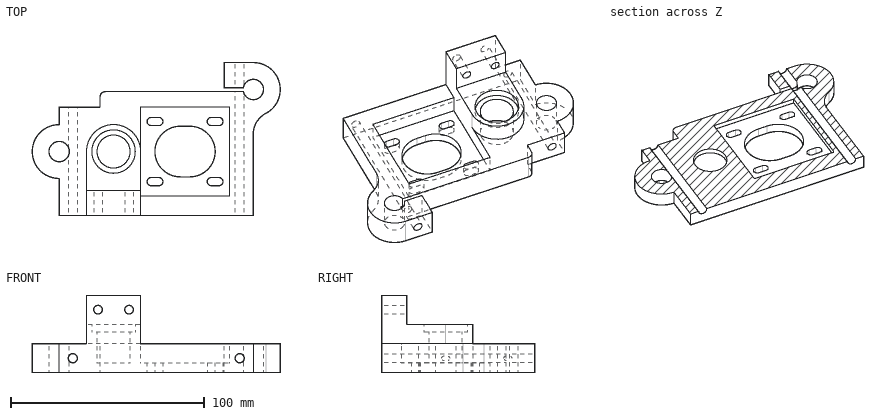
import cadquery as cq
import math

overall_length = 128
lug_radius = 14.0
rod_diameter = 10.4
plate_length = overall_length - 2 * lug_radius
plate_thickness = 15.0
plate_depth = 64
mid_y = 33.0
step_x = 21.0
step_y = 56.0
step_corner_radius = 3.0

clamp_y = 65.0
jaw_left_x = 85.0
clamp_gap = 1.9
clamp_blend_radius = 12.0

block_x = 28.0
block_top = 25.0
wall_thickness = 13.0
wall_top = 40.0
bearing_diameter = 22.4
bearing_depth = 4.0
bore_diameter = 17.0

pocket_side = 2 * (step_y - mid_y)
pocket_floor = 5.0
motor_x = block_x + lug_radius + pocket_side / 2
motor_opening_length = 31.0
motor_opening_width = 26.0
motor_screw_spacing = 31.0
motor_slot_length = 8.0
motor_slot_width = 4.1

plate_screw_diameter = 4.6
wall_screw_diameter = 4.4
plate_screw_inset = 7.0
wall_screw_spacing = 16.0
wall_screw_z = 32.5


def cylinder(x, y, diameter, bottom, top):
    """Upright cylinder between two heights."""
    return cq.Workplane("XY", origin=(x, y, bottom)).circle(diameter / 2).extrude(top - bottom)


def box(x_min, x_max, y_min, y_max, bottom, top):
    """Axis-aligned box given by its limits."""
    size = (x_max - x_min, y_max - y_min, top - bottom)
    return cq.Workplane("XY").box(*size, centered=False).translate((x_min, y_min, bottom))


def make_plate():
    """Stepped plate with the rod lug at the left."""
    plate = (
        cq.Workplane("XY")
        .polyline([
            (0, 0), (plate_length, 0), (plate_length, plate_depth),
            (step_x, plate_depth), (step_x, step_y), (0, step_y),
        ])
        .close()
        .extrude(plate_thickness)
    )
    step_corner = cq.NearestToPointSelector((step_x, plate_depth, plate_thickness / 2))
    plate = plate.edges("|Z").edges(step_corner).fillet(step_corner_radius)
    return plate.union(cylinder(0, mid_y, 2 * lug_radius, 0, plate_thickness))


def make_clamp():
    """Clamp eye, its jaw and the concave blend into the plate's right side."""
    eye = cylinder(plate_length, clamp_y, 2 * lug_radius, 0, plate_thickness)
    jaw = box(jaw_left_x, plate_length, clamp_y, clamp_y + lug_radius, 0, plate_thickness)

    center_distance = lug_radius + clamp_blend_radius
    blend_x = plate_length + clamp_blend_radius
    blend_y = clamp_y - math.sqrt(center_distance**2 - clamp_blend_radius**2)
    eye_angle = math.atan2(clamp_y - blend_y, -clamp_blend_radius)
    middle_angle = (math.pi + eye_angle) / 2

    def blend_point(angle):
        return (
            blend_x + clamp_blend_radius * math.cos(angle),
            blend_y + clamp_blend_radius * math.sin(angle),
        )

    web = (
        cq.Workplane("XY")
        .moveTo(plate_length, blend_y)
        .threePointArc(blend_point(middle_angle), blend_point(eye_angle))
        .lineTo(plate_length, clamp_y)
        .close()
        .extrude(plate_thickness)
    )
    return eye.union(jaw).union(web)


def make_bearing_block():
    """Round-ended block carrying the upright wall at the front."""
    left = block_x - lug_radius
    right = block_x + lug_radius
    block = box(left, right, 0, mid_y, 0, block_top)
    round_end = cylinder(block_x, mid_y, 2 * lug_radius, 0, block_top)
    wall = box(left, right, 0, wall_thickness, 0, wall_top)
    return block.union(round_end).union(wall)


def cut_bearing_seat(body):
    """Shallow bearing seat above a deeper blind bore."""
    seat = cylinder(block_x, mid_y, bearing_diameter, block_top - bearing_depth, block_top)
    bore = cylinder(block_x, mid_y, bore_diameter, pocket_floor, block_top)
    return body.cut(seat).cut(bore)


def cut_motor_mount(body):
    """Square pocket with an oblong opening and four screw slots in its floor."""
    half = pocket_side / 2
    pocket = box(
        motor_x - half, motor_x + half, mid_y - half, mid_y + half, pocket_floor, plate_thickness
    )
    floor = cq.Workplane("XY", origin=(motor_x, mid_y, 0))
    opening = floor.slot2D(motor_opening_length, motor_opening_width).extrude(plate_thickness)
    slots = (
        floor.rect(motor_screw_spacing, motor_screw_spacing, forConstruction=True)
        .vertices()
        .slot2D(motor_slot_length, motor_slot_width)
        .extrude(plate_thickness)
    )
    return body.cut(pocket).cut(opening).cut(slots)


def cut_rod_holes(body):
    """Rod holes in the lug and the clamp, and the gap that splits the clamp."""
    for x, y in [(0, mid_y), (plate_length, clamp_y)]:
        body = body.cut(cylinder(x, y, rod_diameter, 0, plate_thickness))
    gap = box(
        jaw_left_x, plate_length, plate_depth, plate_depth + clamp_gap, 0, plate_thickness
    )
    return body.cut(gap)


def cut_screw_holes(body):
    """Two holes through the plate and two through the upright wall."""
    plate_z = plate_thickness / 2
    plate_points = [(plate_screw_inset, plate_z), (plate_length - plate_screw_inset, plate_z)]
    wall_points = [
        (block_x - wall_screw_spacing / 2, wall_screw_z),
        (block_x + wall_screw_spacing / 2, wall_screw_z),
    ]
    for points, diameter in [
        (plate_points, plate_screw_diameter),
        (wall_points, wall_screw_diameter),
    ]:
        holes = cq.Workplane("XZ").pushPoints(points).circle(diameter / 2)
        body = body.cut(holes.extrude(-(clamp_y + lug_radius)))
    return body


result = make_plate().union(make_clamp()).union(make_bearing_block())
result = cut_bearing_seat(result)
result = cut_motor_mount(result)
result = cut_rod_holes(result)
result = cut_screw_holes(result)